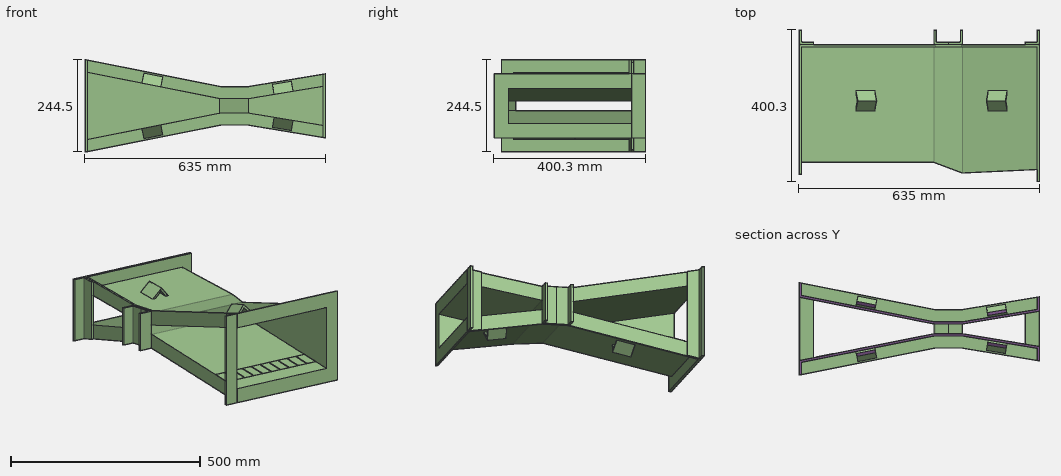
import cadquery as cq
import math

total_length = 635.0
throat_start = 355.5
throat_length = 76.0
throat_end = throat_start + throat_length
inlet_width = 167.0
throat_width = 25.5
outlet_width = 93.0

inlet_depth = 305.0
throat_end_drop = 28.5
outlet_drop = 19.0

wall = 6.5
flange_reach = 38.0

angle_leg = 38.0
angle_thickness = 6.5
angle_root_radius = 2.5
angle_heel_radius = 3.0

bracket_leg = 38.0
bracket_thickness = 6.5
bracket_length = 51.0
bracket_depth = 148.5
inlet_bracket_x = 174.5
outlet_bracket_x = 524.0

gauge_x = 68.0
gauge_width = 48.0
gauge_thickness = 0.5
tick_count = 9
tick_pitch = inlet_depth / (tick_count + 1)
tick_width = 2.0
tick_groove_depth = 0.3

ample = 2 * total_length

stations = [0.0, throat_start, throat_end, total_length]
half_widths = [inlet_width / 2, throat_width / 2, throat_width / 2, outlet_width / 2]
depths = [inlet_depth, inlet_depth, inlet_depth + throat_end_drop, inlet_depth + outlet_drop]

inlet_angle = math.degrees(math.atan2(half_widths[1] - half_widths[0], throat_start))
outlet_angle = math.degrees(math.atan2(half_widths[3] - half_widths[2], total_length - throat_end))


def offset_profile(heights, distance):
    """Points of the profile over the stations, moved outward by distance with mitred corners."""
    slopes = [
        math.atan2(heights[i + 1] - heights[i], stations[i + 1] - stations[i])
        for i in range(len(stations) - 1)
    ]
    points = [(stations[0], heights[0] + distance / math.cos(slopes[0]))]
    for i in range(1, len(slopes)):
        before, after = slopes[i - 1], slopes[i]
        middle = (before + after) / 2
        mitre = distance / math.cos((after - before) / 2)
        points.append((stations[i] - mitre * math.sin(middle), heights[i] + mitre * math.cos(middle)))
    points.append((stations[-1], heights[-1] + distance / math.cos(slopes[-1])))
    return points


def width_prism(distance, y_low, y_high):
    """The hourglass outline of the passage grown by distance, between two Y levels."""
    upper = offset_profile(half_widths, distance)
    lower = [(x, -z) for x, z in reversed(upper)]
    prism = cq.Workplane("XZ").polyline(upper + lower).close().extrude(y_high - y_low)
    return prism.translate((0, y_high, 0))


def passage(distance):
    """The passage grown by distance on its two sides and its floor, open at y = 0."""
    floor = [(x, -depth) for x, depth in offset_profile(depths, distance)]
    outline = [(0, 0)] + floor + [(total_length, 0)]
    side_prism = cq.Workplane("XY").polyline(outline).close().extrude(ample, both=True)
    return side_prism.intersect(width_prism(distance, -ample, 0))


def make_flume():
    """The sheet channel with its two end flanges and the rim around its open side."""
    envelope = passage(flange_reach)
    inlet_slab = cq.Workplane("XY").box(wall, ample, ample, centered=(False, True, True))
    outlet_slab = inlet_slab.translate((total_length - wall, 0, 0))
    rim = width_prism(flange_reach, -wall, 0)
    flume = passage(wall).union(rim)
    for slab in (inlet_slab, outlet_slab):
        flume = flume.union(envelope.intersect(slab))
    return flume.cut(passage(0))


def make_angle_bar(height):
    """An angle bar along Z with its heel at the origin and its legs along +X and +Y."""
    bar = (
        cq.Workplane("XY")
        .polyline([
            (0, 0), (angle_leg, 0), (angle_leg, angle_thickness),
            (angle_thickness, angle_thickness), (angle_thickness, angle_leg), (0, angle_leg),
        ])
        .close()
        .extrude(height / 2, both=True)
    )
    root = cq.selectors.NearestToPointSelector((angle_thickness, angle_thickness, 0))
    heel = cq.selectors.NearestToPointSelector((0, 0, 0))
    return bar.edges(root).fillet(angle_root_radius).edges(heel).fillet(angle_heel_radius)


def make_end_angles():
    """Angles behind the two ends, trimmed to the sloping edges of the rim."""
    bar = make_angle_bar(ample)
    trim = width_prism(flange_reach, 0, angle_leg)
    inlet = bar.intersect(trim)
    outlet = bar.mirror("YZ").translate((total_length, 0, 0)).intersect(trim)
    return [inlet, outlet]


def make_throat_angles():
    """Two angles behind the throat that meet toe to toe at its middle."""
    bar = make_angle_bar(throat_width + 2 * flange_reach)
    return [bar.translate((throat_start, 0, 0)), bar.mirror("YZ").translate((throat_end, 0, 0))]


def make_bracket(x, tilt, wall_half_width):
    """A roof-shaped piece standing on the outside of the +Z wall."""
    rise = bracket_leg / math.sqrt(2)
    inset = bracket_thickness * math.sqrt(2)
    bracket = (
        cq.Workplane("YZ")
        .polyline([
            (-rise, 0), (0, rise), (rise, 0),
            (rise - inset, 0), (0, rise - inset), (inset - rise, 0),
        ])
        .close()
        .extrude(bracket_length / 2, both=True)
    )
    surface = wall_half_width + wall / math.cos(math.radians(tilt))
    return bracket.rotate((0, 0, 0), (0, 1, 0), -tilt).translate((x, -bracket_depth, surface))


def make_brackets():
    """One bracket on the outside of each of the four sloping walls."""
    inlet_half = half_widths[0] + inlet_bracket_x * math.tan(math.radians(inlet_angle))
    outlet_half = half_widths[2] + (outlet_bracket_x - throat_end) * math.tan(math.radians(outlet_angle))
    upper = [
        make_bracket(inlet_bracket_x, inlet_angle, inlet_half),
        make_bracket(outlet_bracket_x, outlet_angle, outlet_half),
    ]
    return upper + [bracket.mirror("XY") for bracket in upper]


def make_gauge():
    """A thin strip over the full passage depth, with equally spaced tick grooves."""
    gauge = cq.Workplane("XY").box(
        gauge_width, inlet_depth, gauge_thickness, centered=(True, False, False)
    )
    for i in range(1, tick_count + 1):
        groove = cq.Workplane("XY").box(
            gauge_width, tick_width, tick_groove_depth, centered=(True, True, False)
        )
        gauge = gauge.cut(groove.translate(
            (0, i * tick_pitch, gauge_thickness - tick_groove_depth)
        ))
    surface = -(half_widths[0] + gauge_x * math.tan(math.radians(inlet_angle)))
    return gauge.rotate((0, 0, 0), (0, 1, 0), inlet_angle).translate((gauge_x, -inlet_depth, surface))


flume = make_flume()
end_angles = make_end_angles()
throat_angles = make_throat_angles()
brackets = make_brackets()
gauge = make_gauge()

bodies = [flume] + end_angles + throat_angles + brackets + [gauge]
result = cq.Compound.makeCompound([body.val() for body in bodies])